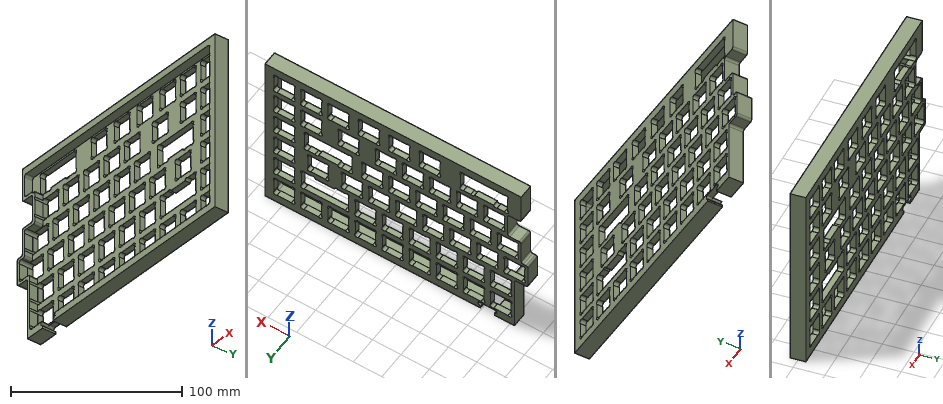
import cadquery as cq
import math

KEY_PITCH = 19.05
SWITCH_SIZE = 14.3
ROW_COUNT = 6
BORDER = 4.0
RECESS_OVERLAP = 1.0
STEPPED_WALL = 2.2
THICKNESS = 10.0
RECESS_DEPTH = 6.0
STEP_RADIUS = 1.5
RECESS_RADIUS = 1.5
RELIEF_RADIUS = 1.5

WIDE_WIDTH = 33.1
TONGUE_WIDTH = 14.3
WING_REACH = 1.0

PORT_CENTER_UNITS = -7.5
PORT_MOUTH_WIDTH = 9.8
PORT_INNER_WIDTH = 13.0
PORT_MOUTH_DEPTH = 1.6
PORT_FLARE_DEPTH = 3.0
PORT_RADIUS = 1.0

LEFT_BANDS = [(-8.75, 1), (-8.25, 1), (-8.75, 1), (-9.0, 1), (-8.5, 2)]
ROW_KEYS = [
    [-5.375, -4.25, -3.125, -2, -1, 0],
    [-7.75, -6.75, -5.75, -4.75, -3.75, -2.375, -1, 0],
    [-8.25, -7.25, -6.25, -5.25, -4.25, -3.25, 0],
    [-8.5, -7.5, -6.5, -5.5, -4.5, -3.5, -2.5, -1.25, 0],
    [-8, -7, -6, -5, -4, -3, 0],
    [-8, -7, -6, -5, -4, -3, -2, -1, 0],
]
WIDE_KEYS = [(0, -7.375, -1), (2, -1.625, -1), (4, -1.5, 1)]

HEIGHT = ROW_COUNT * KEY_PITCH + 2 * BORDER
LEFTMOST_UNITS = min(edge for edge, rows in LEFT_BANDS)
WIDTH = (0.5 - LEFTMOST_UNITS) * KEY_PITCH + BORDER
RIGHT = WIDTH / 2
TOP = HEIGHT / 2
BOTTOM = -TOP
GRID_RIGHT = RIGHT - BORDER
GRID_TOP = TOP - BORDER
FRAME_WIDTH = BORDER + RECESS_OVERLAP
FRONT_Y = -THICKNESS / 2
RELIEF_INSET = RELIEF_RADIUS / math.sqrt(2)


def column_x(units):
    """X of a position given in key units from the last column's centre."""
    return GRID_RIGHT + (units - 0.5) * KEY_PITCH


def row_z(row):
    """Z of the centre line of a key row."""
    return GRID_TOP - (row + 0.5) * KEY_PITCH


def front_plane():
    """XZ work plane on the -Y face; negative extrusions run towards +Y."""
    return cq.Workplane("XZ", origin=(0, FRONT_Y, 0))


def stepped_prism(frame, wall, depth):
    """Plate outline set in by frame on the straight sides and by wall on the stepped side."""
    right = RIGHT - frame
    bottom = BOTTOM + frame
    level = TOP - frame
    points = [(right, bottom), (right, level)]
    boundary = GRID_TOP
    for index, (edge, rows) in enumerate(LEFT_BANDS):
        x = column_x(edge) + wall
        points.append((x, level))
        boundary -= rows * KEY_PITCH
        if index + 1 == len(LEFT_BANDS):
            level = bottom
        elif LEFT_BANDS[index + 1][0] > edge:
            level = boundary + wall
        else:
            level = boundary - wall
        points.append((x, level))
    return front_plane().polyline(points).close().extrude(-depth)


def make_body():
    """Outer block with rounded steps and sharp outer corners."""
    body = stepped_prism(0, 0, THICKNESS)
    step_zone = cq.selectors.BoxSelector((-WIDTH, -THICKNESS, BOTTOM + BORDER), (0, THICKNESS, GRID_TOP))
    return body.edges("|Y").edges(step_zone).fillet(STEP_RADIUS)


def make_recess():
    """Pocket that leaves the frame standing in front of the plate."""
    return stepped_prism(FRAME_WIDTH, STEPPED_WALL, RECESS_DEPTH).edges("|Y").fillet(RECESS_RADIUS)


def block(x0, x1, z0, z1):
    """Rectangular cutter through the full thickness."""
    return front_plane().center((x0 + x1) / 2, (z0 + z1) / 2).rect(x1 - x0, z1 - z0).extrude(-THICKNESS)


def corner_reliefs(x0, x1, z_edge, inward):
    """Relief cutters at both ends of a horizontal edge; inward is +1 or -1 along Z."""
    z = z_edge + inward * RELIEF_INSET
    centers = [(x0 + RELIEF_INSET, z), (x1 - RELIEF_INSET, z)]
    return front_plane().pushPoints(centers).circle(RELIEF_RADIUS).extrude(-THICKNESS)


def switch_opening(x, z):
    """Square opening for one switch, relieved in all four corners."""
    half = SWITCH_SIZE / 2
    opening = block(x - half, x + half, z - half, z + half)
    for inward in (-1, 1):
        opening = opening.union(corner_reliefs(x - half, x + half, z - inward * half, inward))
    return opening


def wide_opening(x, z, side):
    """Long opening whose two deeper wings leave a tongue of plate between them."""
    half_height = SWITCH_SIZE / 2
    outer = WIDE_WIDTH / 2
    inner = TONGUE_WIDTH / 2
    plain_edge = z - side * half_height
    wing_edge = z + side * (half_height + WING_REACH)
    low, high = sorted((plain_edge, wing_edge))
    opening = block(x - outer, x + outer, z - half_height, z + half_height)
    opening = opening.union(corner_reliefs(x - outer, x + outer, plain_edge, side))
    for x0, x1 in ((x - outer, x - inner), (x + inner, x + outer)):
        opening = opening.union(block(x0, x1, low, high))
        opening = opening.union(corner_reliefs(x0, x1, wing_edge, -side))
    return opening


def cable_port():
    """Flared slot through the bottom frame, widest next to the pocket."""
    mouth = PORT_MOUTH_WIDTH / 2
    inner = PORT_INNER_WIDTH / 2
    x = column_x(PORT_CENTER_UNITS)
    top = BOTTOM + FRAME_WIDTH
    half = [(mouth, BOTTOM), (mouth, BOTTOM + PORT_MOUTH_DEPTH),
            (inner, BOTTOM + PORT_FLARE_DEPTH), (inner, top)]
    points = [(x + dx, z) for dx, z in half] + [(x - dx, z) for dx, z in reversed(half)]
    port = front_plane().polyline(points).close().extrude(-THICKNESS)
    return port.edges("|Y and >Z").fillet(PORT_RADIUS)


openings = [switch_opening(column_x(units), row_z(row))
            for row, keys in enumerate(ROW_KEYS) for units in keys]
openings += [wide_opening(column_x(units), row_z(row), side) for row, units, side in WIDE_KEYS]

result = make_body().cut(make_recess()).cut(cable_port())
for opening in openings:
    result = result.cut(opening)